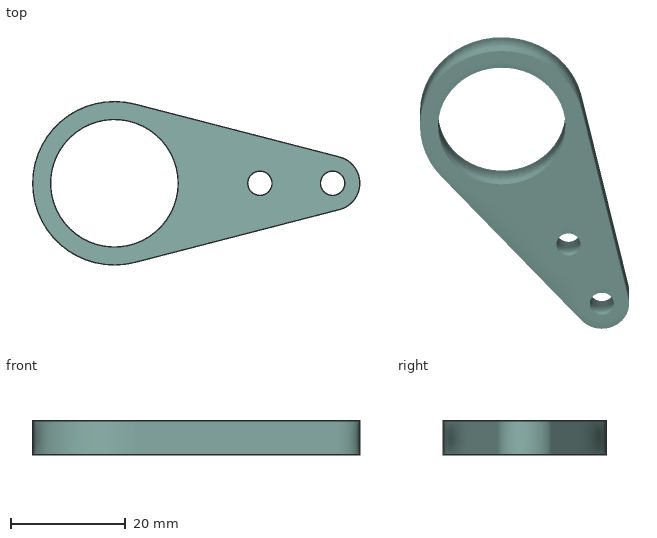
import cadquery as cq
import math

thickness = 6.0
ring_radius = 14.2875
bore_diameter = 22.225
tip_radius = 4.7625
pin_hole_diameter = 4.2
inner_hole_x = 25.4
tip_x = 38.1

flank_normal_angle = math.acos((ring_radius - tip_radius) / tip_x)


def tangent_point(centre_x, radius):
    """Point where the upper flank touches an end arc."""
    return (
        centre_x + radius * math.cos(flank_normal_angle),
        radius * math.sin(flank_normal_angle),
    )


def mirrored(point):
    """Reflect a point across the X axis."""
    return (point[0], -point[1])


def make_arm():
    """Tapered plate with a large round end and a small round tip."""
    ring_tangent = tangent_point(0, ring_radius)
    tip_tangent = tangent_point(tip_x, tip_radius)
    return (
        cq.Workplane("XY")
        .moveTo(*ring_tangent)
        .lineTo(*tip_tangent)
        .threePointArc((tip_x + tip_radius, 0), mirrored(tip_tangent))
        .lineTo(*mirrored(ring_tangent))
        .threePointArc((-ring_radius, 0), ring_tangent)
        .close()
        .extrude(thickness)
    )


def through_hole(centre_x, diameter):
    """Cylinder that cuts a hole through the full thickness."""
    return cq.Workplane("XY").center(centre_x, 0).circle(diameter / 2).extrude(thickness)


result = make_arm().cut(through_hole(0, bore_diameter))
for hole_x in (inner_hole_x, tip_x):
    result = result.cut(through_hole(hole_x, pin_hole_diameter))